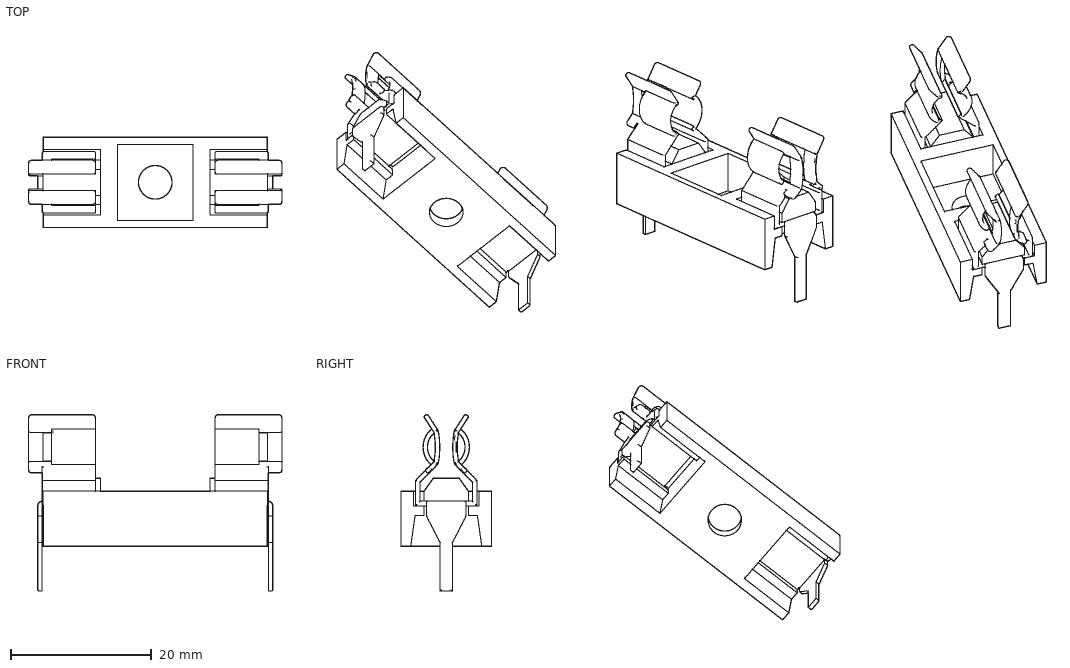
import cadquery as cq
import math


base_length = 31.9
base_width = 12.89
base_height = 7.84

pocket_side = 10.8
pocket_floor = 2.05
screw_hole_diameter = 4.75

recess_inner_x = 7.78
recess_width = 9.28
recess_floor = 5.76

block_width = 6.34
block_top_width = 3.7
block_top = 9.69

notch_top = 4.35
notch_top_width = 8.88
notch_bottom_width = 10.1

sheet = 0.65
edge_round = 0.22
inside_edge_round = 0.1
corner_radius = 0.5

clip_outer_x = 18.035
clip_inner_x = 8.5
channel_outer_x = 16.08
channel_half_width = 4.38
bend_z = 9.1

fuse_axis_z = 14.1
grip_radius = 2.66
knee_y = 1.16
knee_rise = math.sqrt(grip_radius**2 - knee_y**2)
upper_knee_z = fuse_axis_z + knee_rise
lower_knee_z = fuse_axis_z - knee_rise
grip_outer_x = 14.79
grip_burial = 0.6

stop_strip_inner_x = 15.97
stop_strip_y = 0.92
stop_flat = 0.84

lip_angle = math.radians(56.8)
lip_length = 2.79
tab_length = 1.2
toe_length = 0.82
toe_kink = math.radians(7)

leg_shoulder_width = 5.66
leg_tip_width = 1.78
leg_shoulder_z = 4.3
leg_tip_z = 0.55
leg_bottom = -6.38
tuck = 0.35

floor_top = recess_floor + sheet
wall_y = channel_half_width - sheet
slope_angle = math.atan2(lower_knee_z - bend_z, wall_y - knee_y)
leg_outer_x = channel_outer_x + sheet

TOLERANCE = 1e-4


def box(x_min, x_max, width, z_min, z_max):
    """Box centred on Y = 0."""
    size_x = x_max - x_min
    size_z = z_max - z_min
    return cq.Workplane("XY").box(size_x, width, size_z).translate(
        ((x_min + x_max) / 2, 0, (z_min + z_max) / 2)
    )


def yz_sketch(x):
    return cq.Workplane("YZ", origin=(x, 0, 0))


def edges_where(body, test):
    """Select the edges of a body whose centre point passes a test."""
    return body.newObject([edge for edge in body.edges().vals() if test(edge.Center())])


def clip_seat():
    """Everything removed at one end to take a clip."""
    end_x = base_length / 2
    depth = end_x - recess_inner_x
    recess = box(recess_inner_x, end_x, recess_width, recess_floor, base_height)
    window = box(recess_inner_x, end_x, block_width, notch_top, recess_floor)
    notch = (
        yz_sketch(recess_inner_x)
        .moveTo(-notch_bottom_width / 2, 0)
        .lineTo(notch_bottom_width / 2, 0)
        .lineTo(notch_top_width / 2, notch_top)
        .lineTo(-notch_top_width / 2, notch_top)
        .close()
        .extrude(depth)
    )
    return recess.union(window).union(notch)


def clip_block():
    """Bevelled tongue growing from the inner wall of the recess, above the clip floor."""
    return (
        yz_sketch(recess_inner_x)
        .moveTo(-block_width / 2, floor_top)
        .lineTo(block_width / 2, floor_top)
        .lineTo(block_width / 2, base_height)
        .lineTo(block_top_width / 2, block_top)
        .lineTo(-block_top_width / 2, block_top)
        .lineTo(-block_width / 2, base_height)
        .close()
        .extrude(base_length / 2 - recess_inner_x)
    )


def make_base():
    base = box(-base_length / 2, base_length / 2, base_width, 0, base_height)
    base = base.cut(box(-pocket_side / 2, pocket_side / 2, pocket_side, pocket_floor, base_height))
    base = base.cut(cq.Workplane("XY").circle(screw_hole_diameter / 2).extrude(pocket_floor))
    seat = clip_seat()
    block = clip_block()
    for end in (seat, seat.mirror("YZ")):
        base = base.cut(end)
    for end in (block, block.mirror("YZ")):
        base = base.union(end)
    return base


def channel():
    """Floor, walls and inward slopes up to the lower knees, with rounded end edges."""
    inside = [(wall_y, floor_top), (wall_y, bend_z), (knee_y, lower_knee_z)]
    outside = [
        (knee_y + sheet * math.sin(slope_angle), lower_knee_z + sheet * math.cos(slope_angle)),
        (channel_half_width, bend_z + sheet * math.tan(slope_angle / 2)),
        (channel_half_width, recess_floor),
    ]
    half = inside + outside
    other_half = [(-y, z) for y, z in reversed(half)]
    body = (
        yz_sketch(clip_inner_x)
        .polyline(half + other_half)
        .close()
        .extrude(channel_outer_x - clip_inner_x)
    )

    def on_end(point):
        return min(abs(point.x - clip_inner_x), abs(point.x - channel_outer_x)) < TOLERANCE

    def lies_along(point, chain):
        corners = chain + [(-y, z) for y, z in reversed(chain)]
        for (y1, z1), (y2, z2) in zip(corners, corners[1:]):
            if math.hypot(abs(point.y) - abs(y1 + y2) / 2, point.z - (z1 + z2) / 2) < TOLERANCE:
                return True
        return False

    outer_edges = edges_where(body, lambda p: on_end(p) and lies_along(p, outside))
    body = outer_edges.fillet(edge_round)
    inner_edges = edges_where(body, lambda p: on_end(p) and lies_along(p, inside[::-1]))
    return inner_edges.fillet(inside_edge_round)


def plate_plane(root_y, root_z, angle):
    """Plane of a flat jaw plate: local x leaves the root at the angle, local y is +X."""
    along = cq.Vector(0, math.cos(angle), math.sin(angle))
    normal = along.cross(cq.Vector(1, 0, 0))
    return cq.Plane(origin=(0, root_y, root_z), xDir=along, normal=normal)


def round_plate_edges(plate, plane, x_rooted):
    """Round the sheet edges of a plate, except along its root and its buried end."""

    def is_exposed(point):
        local = plane.toLocalCoords(point)
        on_face = min(abs(local.z), abs(abs(local.z) - sheet)) < TOLERANCE
        return on_face and local.x > TOLERANCE and local.y > x_rooted + TOLERANCE

    return edges_where(plate, is_exposed).fillet(edge_round)


def lip():
    """Flared lip above the upper knee."""
    plane = plate_plane(knee_y, upper_knee_z, lip_angle)
    plate = (
        cq.Workplane(plane)
        .moveTo(0, clip_inner_x)
        .lineTo(lip_length - corner_radius, clip_inner_x)
        .radiusArc((lip_length, clip_inner_x + corner_radius), -corner_radius)
        .lineTo(lip_length, clip_outer_x - corner_radius)
        .radiusArc((lip_length - corner_radius, clip_outer_x), -corner_radius)
        .lineTo(0, clip_outer_x)
        .close()
        .extrude(sheet)
    )
    return round_plate_edges(plate, plane, 0)


def tab():
    """Straight part of the tab, in line with the channel slope below the stop strip."""
    plane = plate_plane(knee_y, lower_knee_z, -slope_angle)
    rooted_x = channel_outer_x - tuck
    plate = (
        cq.Workplane(plane)
        .moveTo(0, rooted_x)
        .lineTo(tab_length, rooted_x)
        .lineTo(tab_length, clip_outer_x)
        .lineTo(0, clip_outer_x)
        .close()
        .extrude(-sheet)
    )

    def is_end_rim(point):
        local_x = plane.toLocalCoords(point).x
        return point.x > clip_outer_x - TOLERANCE and abs(local_x - tab_length / 2) < TOLERANCE

    return edges_where(plate, is_end_rim).fillet(edge_round)


def toe():
    """Kinked end of the tab, with a rounded outer corner."""
    root_y = knee_y + tab_length * math.cos(slope_angle)
    root_z = lower_knee_z - tab_length * math.sin(slope_angle)
    plane = plate_plane(root_y, root_z, toe_kink - slope_angle)
    plate = (
        cq.Workplane(plane)
        .moveTo(0, channel_outer_x)
        .lineTo(toe_length, channel_outer_x)
        .lineTo(toe_length, clip_outer_x - corner_radius)
        .radiusArc((toe_length - corner_radius, clip_outer_x), -corner_radius)
        .lineTo(0, clip_outer_x)
        .close()
        .extrude(-sheet)
    )
    return round_plate_edges(plate, plane, channel_outer_x)


def grip():
    """Round fuse grip, concentric with the fuse; its ends are buried in the lip and slope."""
    outer_radius = grip_radius + sheet
    end_y = knee_y + grip_burial
    end_rise = math.sqrt(outer_radius**2 - end_y**2)
    body = (
        yz_sketch(clip_inner_x)
        .moveTo(knee_y, lower_knee_z)
        .threePointArc((grip_radius, fuse_axis_z), (knee_y, upper_knee_z))
        .lineTo(end_y, fuse_axis_z + end_rise)
        .threePointArc((outer_radius, fuse_axis_z), (end_y, fuse_axis_z - end_rise))
        .close()
        .extrude(grip_outer_x - clip_inner_x)
    )
    return body.faces("<X or >X").edges("%CIRCLE").fillet(edge_round)


def stop_strip():
    """Strip bowed towards the fuse axis at the outer end of the jaw, with its window."""
    bow = knee_y - stop_strip_y
    arc_rise = knee_rise - stop_flat / 2
    inside_radius = (arc_rise**2 + bow**2) / (2 * bow)
    flat_top = fuse_axis_z + stop_flat / 2
    flat_bottom = fuse_axis_z - stop_flat / 2
    root_x = grip_outer_x - edge_round
    body = (
        yz_sketch(root_x)
        .moveTo(knee_y, lower_knee_z)
        .radiusArc((stop_strip_y, flat_bottom), inside_radius)
        .lineTo(stop_strip_y, flat_top)
        .radiusArc((knee_y, upper_knee_z), inside_radius)
        .lineTo(knee_y + sheet, upper_knee_z)
        .threePointArc((stop_strip_y + sheet, fuse_axis_z), (knee_y + sheet, lower_knee_z))
        .close()
        .extrude(clip_outer_x - root_x)
    )
    window = (
        yz_sketch(root_x)
        .center(0, fuse_axis_z)
        .circle(grip_radius)
        .extrude(stop_strip_inner_x - root_x)
    )
    body = body.cut(window)

    def is_end_rim(point):
        on_end = point.x > clip_outer_x - TOLERANCE
        return on_end and abs(point.z - fuse_axis_z) < knee_rise - TOLERANCE

    return edges_where(body, is_end_rim).fillet(edge_round)


def solder_leg():
    """Leg bent down from the channel floor, tapering to a narrow pin."""
    side = (
        cq.Workplane("XZ", origin=(0, leg_shoulder_width / 2, 0))
        .moveTo(channel_outer_x - tuck, floor_top)
        .lineTo(channel_outer_x, floor_top)
        .radiusArc((leg_outer_x, recess_floor), sheet)
        .lineTo(leg_outer_x, leg_bottom)
        .lineTo(channel_outer_x, leg_bottom)
        .lineTo(channel_outer_x, recess_floor)
        .lineTo(channel_outer_x - tuck, recess_floor)
        .close()
        .extrude(leg_shoulder_width)
    )
    outline = (
        yz_sketch(channel_outer_x - tuck)
        .moveTo(leg_shoulder_width / 2, floor_top)
        .lineTo(leg_shoulder_width / 2, leg_shoulder_z)
        .lineTo(leg_tip_width / 2, leg_tip_z)
        .lineTo(leg_tip_width / 2, leg_bottom)
        .lineTo(-leg_tip_width / 2, leg_bottom)
        .lineTo(-leg_tip_width / 2, leg_tip_z)
        .lineTo(-leg_shoulder_width / 2, leg_shoulder_z)
        .lineTo(-leg_shoulder_width / 2, floor_top)
        .close()
        .extrude(sheet + tuck)
    )
    leg = side.intersect(outline)

    def is_outer_rim(point):
        on_bend_line = abs(point.z - recess_floor) < TOLERANCE
        return point.x > channel_outer_x + sheet / 2 + TOLERANCE and not on_bend_line

    return edges_where(leg, is_outer_rim).fillet(edge_round)


def make_clip():
    """Complete clip at the +X end."""
    clip = channel().union(solder_leg())
    for portion in (grip(), stop_strip(), lip(), tab(), toe()):
        clip = clip.union(portion).union(portion.mirror("XZ"))
    return clip.clean()


base = make_base()
fuse_clip = make_clip()
fuse_clips = [fuse_clip, fuse_clip.mirror("YZ")]

result = cq.Compound.makeCompound([base.val(), *[clip.val() for clip in fuse_clips]])